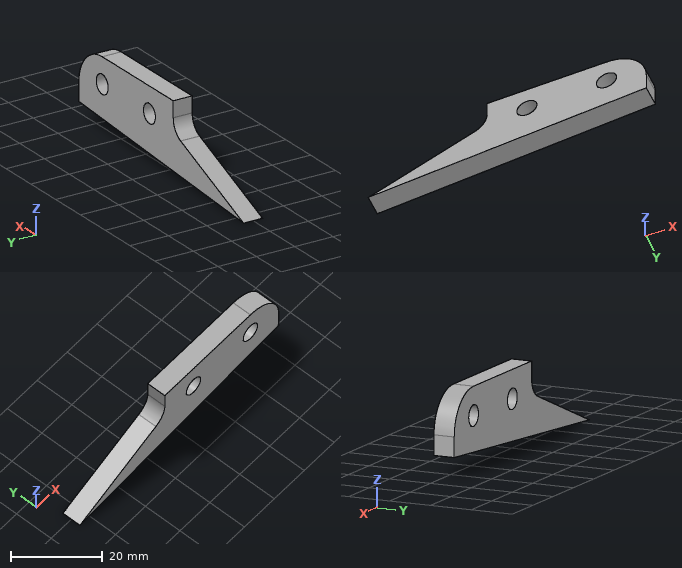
import cadquery as cq
import math

length = 66.55
thickness = 5.0
height = 18.85

heel_height = 4.65
shoulder_x = 28.4
ramp_angle = 22.1
shoulder_radius = 4.8
corner_radius = 9.5

hole_diameter = 4.8
hole_depth_below_top = 6.6
hole_spacing = 19.05
rear_hole_x = length - corner_radius
hole_z = height - hole_depth_below_top

ramp_top_z = shoulder_x * math.tan(math.radians(ramp_angle))


def make_blade():
    """Extrude the pointed outline, then round its shoulder and rear corner."""
    blade = (
        cq.Workplane("XZ")
        .moveTo(0, 0)
        .lineTo(length, heel_height)
        .lineTo(length, height)
        .lineTo(shoulder_x, height)
        .lineTo(shoulder_x, ramp_top_z)
        .close()
        .extrude(thickness)
    )
    mid_y = -thickness / 2
    shoulder_edge = cq.selectors.NearestToPointSelector((shoulder_x, mid_y, ramp_top_z))
    corner_edge = cq.selectors.NearestToPointSelector((length, mid_y, height))
    blade = blade.edges("|Y").edges(shoulder_edge).fillet(shoulder_radius)
    return blade.edges("|Y").edges(corner_edge).fillet(corner_radius)


def make_holes():
    """Two cylinders that pass through the full thickness."""
    centres = [(rear_hole_x - hole_spacing, hole_z), (rear_hole_x, hole_z)]
    return (
        cq.Workplane("XZ")
        .pushPoints(centres)
        .circle(hole_diameter / 2)
        .extrude(thickness)
    )


result = make_blade().cut(make_holes())